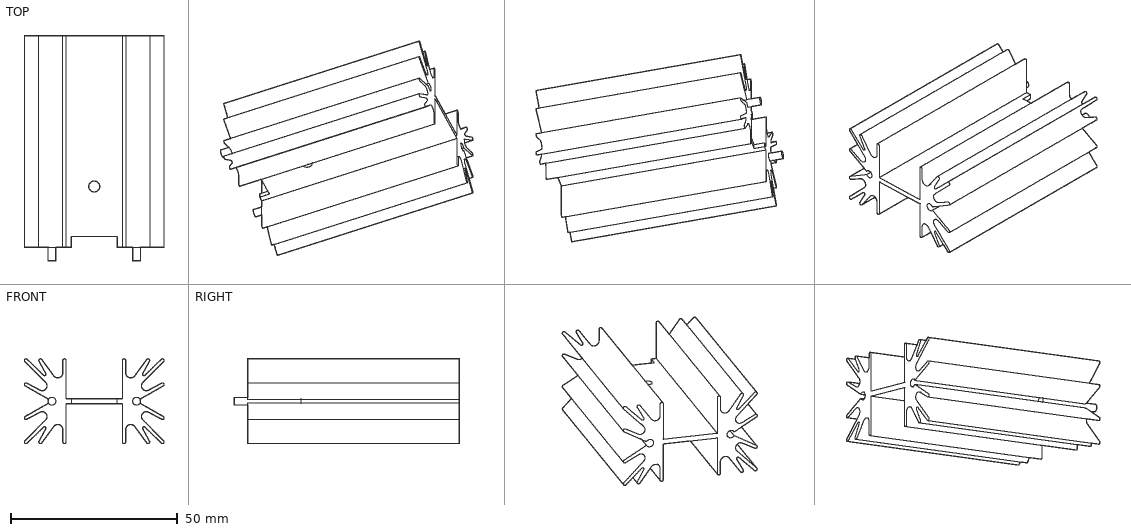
import cadquery as cq
import math

WIDTH = 41.9
HEIGHT = 25.4
LENGTH = 63.4

CHANNEL_WIDTH = 16.85
WEB_THICKNESS = 1.55
NOTCH_WIDTH = 13.7
NOTCH_DEPTH = 3.2
HOLE_DIAMETER = 3.25
HOLE_SETBACK = 18.2

PIN_DIAMETER = 2.35
PIN_SPACING = 25.35
PIN_PROTRUSION = 4.05
PIN_INSERTION = 15.9

WALL_FIN_TIP_RADIUS = 0.505
STEEP_FIN_TIP_RADIUS = 0.505
OUTER_FIN_TIP_RADIUS = 0.505
STEEP_FIN_TIP_X = 16.1
LOW_FIN_TIP_Z = 5.0

WIDE_GAP_RADIUS = 1.5
WIDE_GAP_Z = 8.5
NARROW_GAP_RADIUS = 0.4
NARROW_GAP_X = 14.9
NARROW_GAP_Z = 8.1
SIDE_GAP_RADIUS = 1.4
SIDE_GAP_X = 15.6
SIDE_GAP_Z = 4.6

HALF_CHANNEL = CHANNEL_WIDTH / 2
PIN_X = PIN_SPACING / 2
WALL_FIN_TIP_X = HALF_CHANNEL + WALL_FIN_TIP_RADIUS
WIDE_GAP_X = HALF_CHANNEL + 2 * WALL_FIN_TIP_RADIUS + WIDE_GAP_RADIUS
OUTER_FIN_TIP_X = WIDTH / 2 - OUTER_FIN_TIP_RADIUS


def tip_z(radius):
    """Centre height of a fin tip that touches the top of the envelope."""
    return HEIGHT / 2 - radius


ROUNDS = [
    (WALL_FIN_TIP_X, tip_z(WALL_FIN_TIP_RADIUS), WALL_FIN_TIP_RADIUS),
    (WIDE_GAP_X, WIDE_GAP_Z, WIDE_GAP_RADIUS),
    (STEEP_FIN_TIP_X, tip_z(STEEP_FIN_TIP_RADIUS), STEEP_FIN_TIP_RADIUS),
    (NARROW_GAP_X, NARROW_GAP_Z, NARROW_GAP_RADIUS),
    (OUTER_FIN_TIP_X, tip_z(OUTER_FIN_TIP_RADIUS), OUTER_FIN_TIP_RADIUS),
    (SIDE_GAP_X, SIDE_GAP_Z, SIDE_GAP_RADIUS),
    (OUTER_FIN_TIP_X, LOW_FIN_TIP_Z, OUTER_FIN_TIP_RADIUS),
    (PIN_X, 0, 0),
]


def point_on(round_, angle):
    x, z, radius = round_
    return (x + radius * math.cos(angle), z + radius * math.sin(angle))


def crossing_tangent(first, second, first_is_tip):
    """Angles of the contact points of the fin flank joining two rounds."""
    dx = second[0] - first[0]
    dz = second[1] - first[1]
    swing = math.acos((first[2] + second[2]) / math.hypot(dx, dz))
    side = 1 if first_is_tip else -1
    angle = math.atan2(dz, dx) + side * swing
    return angle, angle + math.pi


def add_arc(outline, round_, start, end, turn):
    """Arc on a round from one angle to another; turn is -1 for clockwise."""
    sweep = turn * ((turn * (end - start)) % (2 * math.pi))
    return outline.threePointArc(point_on(round_, start + sweep / 2), point_on(round_, end))


def finned_quarter():
    """Upper right quarter: half a wall with its four fins."""
    outline = cq.Workplane("XZ").moveTo(HALF_CHANNEL, 0).lineTo(HALF_CHANNEL, ROUNDS[0][1])
    arrival = math.pi
    for index, (current, following) in enumerate(zip(ROUNDS, ROUNDS[1:])):
        is_tip = index % 2 == 0
        departure, next_arrival = crossing_tangent(current, following, is_tip)
        outline = add_arc(outline, current, arrival, departure, -1 if is_tip else 1)
        outline = outline.lineTo(*point_on(following, next_arrival))
        arrival = next_arrival
    return outline.close().extrude(-LENGTH)


def rod(x, diameter, start_y, end_y):
    """Round bar along Y."""
    section = cq.Workplane("XZ", origin=(x, start_y, 0)).circle(diameter / 2)
    return section.extrude(start_y - end_y)


def web():
    plate = cq.Workplane("XY").box(CHANNEL_WIDTH, LENGTH, WEB_THICKNESS, centered=(True, False, True))
    notch = cq.Workplane("XY").box(NOTCH_WIDTH, 2 * NOTCH_DEPTH, WEB_THICKNESS)
    hole = cq.Workplane("XY").center(0, HOLE_SETBACK).circle(HOLE_DIAMETER / 2)
    return plate.cut(notch).cut(hole.extrude(WEB_THICKNESS, both=True))


def heat_sink():
    quarter = finned_quarter()
    right_wall = quarter.union(quarter.mirror("XY"))
    body = web().union(right_wall).union(right_wall.mirror("YZ"))
    for x in (-PIN_X, PIN_X):
        body = body.cut(rod(x, PIN_DIAMETER, 0, LENGTH))
    return body


def solder_pin(x):
    return rod(x, PIN_DIAMETER, -PIN_PROTRUSION, PIN_INSERTION)


sink = heat_sink()
pins = [solder_pin(x) for x in (-PIN_X, PIN_X)]

result = cq.Compound.makeCompound([sink.val(), *[pin.val() for pin in pins]])